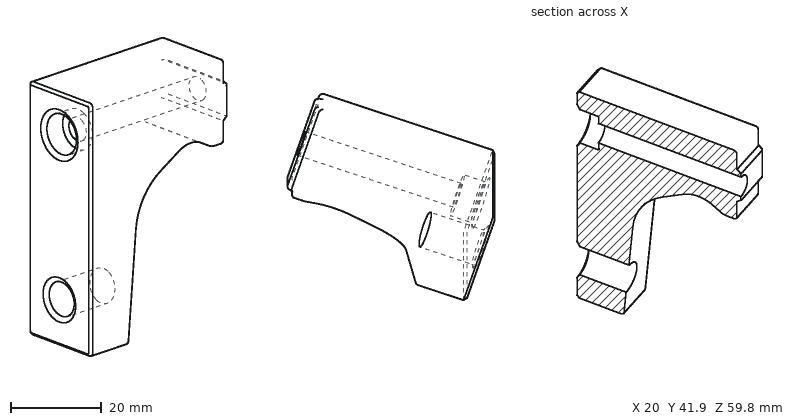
import cadquery as cq
import math

width = 20.0
depth = 41.9
height = 59.8

pad_rise = 1.0
back_y = depth - pad_rise
pad_bottom_z = 46.0
pad_top_z = 53.7
pad_shoulder = 0.85

nose_z = 39.8
crest_y = 31.0
crest_z = 42.4
crest_radius = 7.5
flank_angle = math.radians(30)
leg_foot_y = 12.0
leg_draft = math.radians(5)
leg_radius = 14.95
nose_radius = 3.0

edge_radius = 0.95
front_bevel = 0.65

upper_hole_z = 49.85
upper_hole_diameter = 5.5
counterbore_diameter = 9.5
counterbore_depth = 5.5
upper_mouth_diameter = 11.95
lower_hole_z = 10.95
lower_hole_diameter = 8.0
lower_mouth_diameter = 10.45
mouth_angle = math.radians(30)

flank_slope = math.tan(flank_angle)
apex_z = crest_z + crest_radius * (1 / math.cos(flank_angle) - 1)
nose_y = crest_y + (apex_z - nose_z) / flank_slope
draft_slope = math.tan(leg_draft)
leg_top_z = (apex_z - flank_slope * (crest_y - leg_foot_y)) / (1 - flank_slope * draft_slope)
leg_top_y = leg_foot_y + leg_top_z * draft_slope


def profile_corner(body, y, z):
    """Select the X-running edge at the given profile corner."""
    return body.edges("|X").edges(cq.selectors.NearestToPointSelector((0, y, z)))


def make_body():
    profile = [
        (0, 0),
        (0, height),
        (back_y, height),
        (back_y, pad_top_z + pad_shoulder),
        (depth, pad_top_z),
        (depth, pad_bottom_z),
        (back_y, pad_bottom_z - pad_shoulder),
        (back_y, nose_z),
        (nose_y, nose_z),
        (crest_y, apex_z),
        (leg_top_y, leg_top_z),
        (leg_foot_y, 0),
    ]
    body = cq.Workplane("YZ").polyline(profile).close().extrude(width / 2, both=True)
    body = profile_corner(body, nose_y, nose_z).fillet(nose_radius)
    body = profile_corner(body, crest_y, apex_z).fillet(crest_radius)
    return profile_corner(body, leg_top_y, leg_top_z).fillet(leg_radius)


def soften_edges(body):
    """Round the side outlines and outer corners, then bevel around the front face."""
    rounded = body.faces("<X or >X").edges().edges("not(<Y)")
    for y, z in [(back_y, height), (back_y, nose_z), (leg_foot_y, 0)]:
        rounded = rounded.add(profile_corner(body, y, z))
    return rounded.fillet(edge_radius).faces("<Y").chamfer(front_bevel)


def bore(z, diameter, length):
    """Cylinder running from the front face into the part."""
    return cq.Solid.makeCylinder(diameter / 2, length, cq.Vector(0, 0, z), cq.Vector(0, 1, 0))


def mouth(z, mouth_diameter, hole_diameter):
    """Shallow countersink at the front face."""
    outer = mouth_diameter / 2
    inner = hole_diameter / 2
    cone_depth = (outer - inner) * math.tan(mouth_angle)
    return cq.Solid.makeCone(outer, inner, cone_depth, cq.Vector(0, 0, z), cq.Vector(0, 1, 0))


def cut_holes(body):
    tools = [
        bore(upper_hole_z, upper_hole_diameter, depth),
        bore(upper_hole_z, counterbore_diameter, counterbore_depth),
        mouth(upper_hole_z, upper_mouth_diameter, counterbore_diameter),
        bore(lower_hole_z, lower_hole_diameter, depth),
        mouth(lower_hole_z, lower_mouth_diameter, lower_hole_diameter),
    ]
    for tool in tools:
        body = body.cut(cq.Workplane(tool))
    return body


result = cut_holes(soften_edges(make_body()))